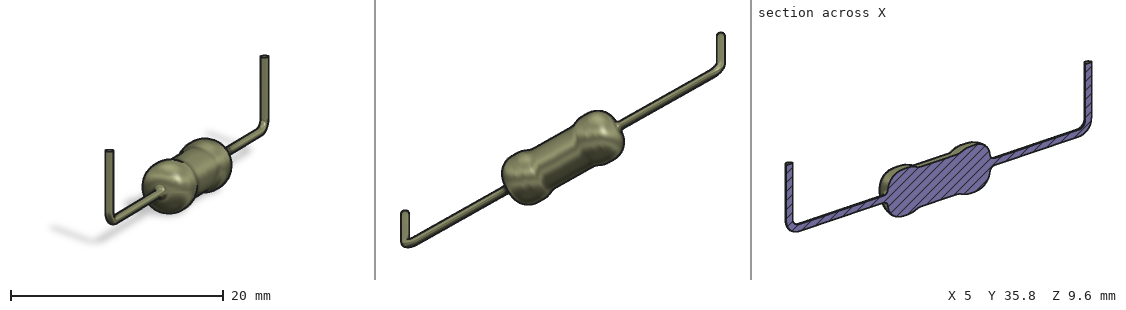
import cadquery as cq
import math

overall_length = 35.8
lead_diameter = 0.8
cap_diameter = 5.0
waist_diameter = 4.25
lead_top = 7.1
bend_radius = 1.15

waist_half_length = 2.0
band_width = 0.75
cap_end_radius = 1.75
neck_radius = 0.5

lead_radius = lead_diameter / 2
cap_radius = cap_diameter / 2
waist_radius = waist_diameter / 2

transition_middle = waist_half_length + band_width
cap_start = transition_middle + band_width
cap_end = cap_start + band_width

radius_step = (cap_radius - waist_radius) / 2
transition_radius = (band_width**2 + radius_step**2) / (2 * radius_step)

round_center_radius = cap_radius - cap_end_radius
neck_center_radius = lead_radius + neck_radius
center_rise = neck_center_radius - round_center_radius
center_run = math.sqrt((cap_end_radius + neck_radius) ** 2 - center_rise**2)
neck_end = cap_end + center_run
touch_fraction = cap_end_radius / (cap_end_radius + neck_radius)
touch_point = (
    round_center_radius + touch_fraction * center_rise,
    cap_end + touch_fraction * center_run,
)


def make_half_body():
    """Revolve the +Y half of the body; profile points are (radius, axial position)."""
    profile = (
        cq.Workplane("XY")
        .lineTo(waist_radius, 0)
        .lineTo(waist_radius, waist_half_length)
        .radiusArc((waist_radius + radius_step, transition_middle), transition_radius)
        .radiusArc((cap_radius, cap_start), -transition_radius)
        .lineTo(cap_radius, cap_end)
        .radiusArc(touch_point, -cap_end_radius)
        .radiusArc((lead_radius, neck_end), neck_radius)
        .lineTo(0, neck_end)
        .close()
    )
    return profile.revolve(360, (0, 0, 0), (0, 1, 0))


def make_lead_pair():
    """Sweep one continuous wire through the body and up at both ends."""
    lead_y = overall_length / 2 - lead_radius
    straight_end = lead_y - bend_radius
    path = (
        cq.Workplane("YZ")
        .moveTo(-lead_y, lead_top)
        .lineTo(-lead_y, bend_radius)
        .tangentArcPoint((-straight_end, 0), relative=False)
        .lineTo(straight_end, 0)
        .tangentArcPoint((lead_y, bend_radius), relative=False)
        .lineTo(lead_y, lead_top)
    )
    section = cq.Workplane("XY", origin=(0, -lead_y, lead_top)).circle(lead_radius)
    return section.sweep(path)


half_body = make_half_body()
body = half_body.union(half_body.mirror("XZ"))
result = body.union(make_lead_pair())